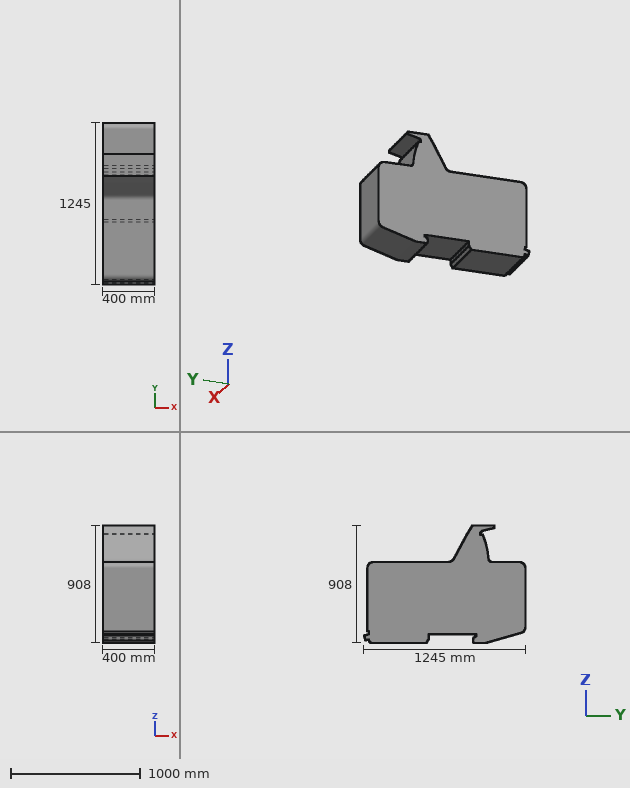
import cadquery as cq
import math

width = 400.0
length = 1245.0
height = 908.0

body_top = 626.0
body_front = 25.0
corner_radius = 50.0
ramp_start_y = 937.0
ramp_angle = 16.0
ramp_end_z = (length - ramp_start_y) * math.tan(math.radians(ramp_angle))

slot_top = 67.0
slot_back = 865.0
slot_front = 499.0
lead_in_y = 480.0
lead_in_z = 31.0
hook_neck_z = 56.0
hook_tip = (844.0, 42.0)
hook_bulge = (839.0, 25.0)
hook_foot_y = 845.0

latch_wall_y = 37.0
groove_top = 90.0
tongue_root_top = 70.0
tongue_root_bottom = 29.0
tongue_tip_top = (0.0, 59.0)
tongue_tip_bottom = (10.0, 20.0)
toe_radius = 25.0
groove_edge_radius = 6.0

handle_front_top_y = 835.0
handle_knee = (785.0, 825.0)
handle_front_foot_y = 679.0
lip_end_y = 1005.0
lip_end_z = 886.0
lip_edge_radius = 7.0
lip_root = (921.0, 867.0)
lip_root_bulge = (904.0, 858.0)
throat_y = 895.0
throat_top_z = 845.0
step_z = 837.0
grip_top_y = 915.0
grip_bulge = (947.0, 737.0)
grip_foot_y = 961.0
grip_foot_radius = 25.0


def make_profile():
    """Extrude the sharp-cornered side outline across the full width."""
    return (
        cq.Workplane("YZ")
        .moveTo(ramp_start_y, 0)
        .lineTo(length, ramp_end_z)
        .lineTo(length, body_top)
        .lineTo(grip_foot_y, body_top)
        .threePointArc(grip_bulge, (grip_top_y, step_z))
        .lineTo(throat_y, step_z)
        .lineTo(throat_y, throat_top_z)
        .threePointArc(lip_root_bulge, lip_root)
        .lineTo(lip_end_y, lip_end_z)
        .lineTo(lip_end_y, height)
        .lineTo(handle_front_top_y, height)
        .lineTo(*handle_knee)
        .lineTo(handle_front_foot_y, body_top)
        .lineTo(body_front, body_top)
        .lineTo(body_front, groove_top)
        .lineTo(latch_wall_y, groove_top)
        .lineTo(latch_wall_y, tongue_root_top)
        .lineTo(*tongue_tip_top)
        .lineTo(*tongue_tip_bottom)
        .lineTo(latch_wall_y, tongue_root_bottom)
        .lineTo(latch_wall_y, 0)
        .lineTo(lead_in_y, 0)
        .lineTo(slot_front, lead_in_z)
        .lineTo(slot_front, slot_top)
        .lineTo(slot_back, slot_top)
        .lineTo(slot_back, hook_neck_z)
        .lineTo(*hook_tip)
        .threePointArc(hook_bulge, (hook_foot_y, 0))
        .close()
        .extrude(width)
    )


def round_corner(part, y, z, radius):
    """Fillet the edge that runs along X through the profile corner (y, z)."""
    nearest = cq.selectors.NearestToPointSelector((width / 2, y, z))
    return part.edges("|X").edges(nearest).fillet(radius)


rounded_corners = [
    (ramp_start_y, 0, corner_radius),
    (length, ramp_end_z, corner_radius),
    (length, body_top, corner_radius),
    (body_front, body_top, corner_radius),
    (handle_front_foot_y, body_top, corner_radius),
    (grip_foot_y, body_top, grip_foot_radius),
    (lip_end_y, lip_end_z, lip_edge_radius),
    (lip_end_y, height, lip_edge_radius),
    (body_front, groove_top, groove_edge_radius),
    (latch_wall_y, 0, toe_radius),
]

result = make_profile()
for corner_y, corner_z, radius in rounded_corners:
    result = round_corner(result, corner_y, corner_z, radius)